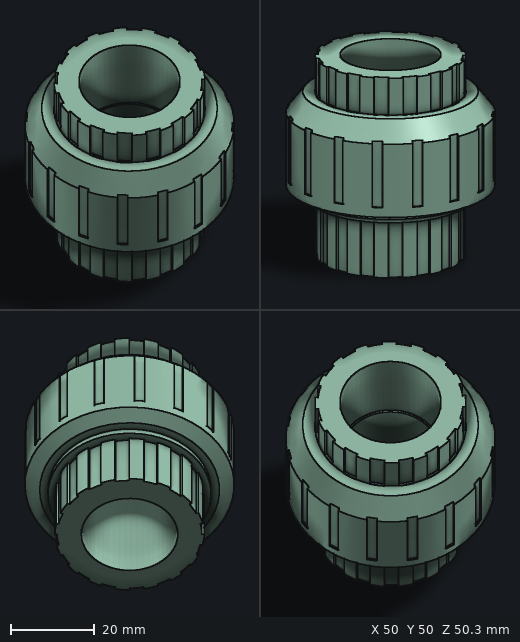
import cadquery as cq


GRIP_COUNT = 16
GRIP_PITCH = 360 / GRIP_COUNT
NECK_GRIP_WIDTH = 3.5
BAR_OVERRUN = 0.5

COLLAR_BOTTOM = 14.45
NUT_BOTTOM = 15.95
NUT_CHAMFER_TOP = 17.6
NUT_GROOVE_BOTTOM = 20.0
JOINT_HEIGHT = 30.7
LIP_BOTTOM = 36.0
NUT_GROOVE_TOP = 36.55
NUT_TOP = 41.05
TOTAL_HEIGHT = 50.3
TAIL_GROOVE_RECESS = 0.2
TAIL_GROOVE_BOTTOM = NUT_TOP - TAIL_GROOVE_RECESS

BODY_NECK_DIAMETER = 34.5
BODY_RIB_DIAMETER = 35.6
BODY_COLLAR_DIAMETER = 38.95
BODY_BORE = 23.0

TAIL_NECK_DIAMETER = 36.0
TAIL_GROOVE_FLOOR_DIAMETER = 34.6
TAIL_FLANGE_DIAMETER = 38.8
TAIL_BORE = 24.1

NUT_DIAMETER = 50.0
NUT_BOTTOM_DIAMETER = 42.9
NUT_TOP_DIAMETER = 41.9
NUT_MOUTH_DIAMETER = 36.1
NUT_GROOVE_WIDTH = 2.45
NUT_GROOVE_DEPTH = 0.45


def cylinder(diameter, bottom, top):
    """Solid cylinder on the Z axis between two heights."""
    return cq.Workplane("XY").workplane(offset=bottom).circle(diameter / 2).extrude(top - bottom)


def radial_bars(inner_radius, outer_radius, width, bottom, top):
    """Ring of separate upright bars with flat, parallel sides, the first one on the +X axis."""
    bar = (
        cq.Workplane("XY")
        .workplane(offset=bottom)
        .center((inner_radius + outer_radius) / 2, 0)
        .rect(outer_radius - inner_radius, width)
        .extrude(top - bottom)
    )
    bars = cq.Workplane("XY")
    for index in range(GRIP_COUNT):
        bars = bars.add(bar.rotate((0, 0, 0), (0, 0, 1), index * GRIP_PITCH))
    return bars.combine()


def make_socket_body():
    """Lower body: ribbed neck below a plain collar that reaches up into the nut."""
    neck = cylinder(BODY_NECK_DIAMETER, 0, COLLAR_BOTTOM)
    neck_radius = BODY_NECK_DIAMETER / 2
    rib_radius = BODY_RIB_DIAMETER / 2
    ribs = radial_bars(
        neck_radius - BAR_OVERRUN, rib_radius + BAR_OVERRUN, NECK_GRIP_WIDTH, 0, COLLAR_BOTTOM
    ).intersect(cylinder(BODY_RIB_DIAMETER, 0, COLLAR_BOTTOM))
    collar = cylinder(BODY_COLLAR_DIAMETER, COLLAR_BOTTOM, JOINT_HEIGHT)
    bore = cylinder(BODY_BORE, 0, JOINT_HEIGHT)
    return neck.union(ribs).union(collar).cut(bore)


def make_tail_piece():
    """Upper body: grooved neck above a flange that sits under the lip of the nut."""
    neck = cylinder(TAIL_NECK_DIAMETER, LIP_BOTTOM, TOTAL_HEIGHT)
    floor_radius = TAIL_GROOVE_FLOOR_DIAMETER / 2
    neck_radius = TAIL_NECK_DIAMETER / 2
    grooves = radial_bars(
        floor_radius - BAR_OVERRUN,
        neck_radius + BAR_OVERRUN,
        NECK_GRIP_WIDTH,
        TAIL_GROOVE_BOTTOM,
        TOTAL_HEIGHT,
    ).cut(cylinder(TAIL_GROOVE_FLOOR_DIAMETER, TAIL_GROOVE_BOTTOM, TOTAL_HEIGHT))
    flange = cylinder(TAIL_FLANGE_DIAMETER, JOINT_HEIGHT, LIP_BOTTOM)
    bore = cylinder(TAIL_BORE, JOINT_HEIGHT, TOTAL_HEIGHT)
    return neck.cut(grooves).union(flange).cut(bore)


def make_union_nut():
    """Ring with a chamfered foot, a conical shoulder, an inner lip and outer grip grooves."""
    profile = [
        (BODY_COLLAR_DIAMETER / 2, NUT_BOTTOM),
        (NUT_BOTTOM_DIAMETER / 2, NUT_BOTTOM),
        (NUT_DIAMETER / 2, NUT_CHAMFER_TOP),
        (NUT_DIAMETER / 2, LIP_BOTTOM),
        (NUT_TOP_DIAMETER / 2, NUT_TOP),
        (NUT_MOUTH_DIAMETER / 2, NUT_TOP),
        (NUT_MOUTH_DIAMETER / 2, LIP_BOTTOM),
        (BODY_COLLAR_DIAMETER / 2, LIP_BOTTOM),
    ]
    ring = cq.Workplane("XZ").polyline(profile).close().revolve(360, (0, 0), (0, 1))
    radius = NUT_DIAMETER / 2
    grooves = radial_bars(
        radius - NUT_GROOVE_DEPTH, radius + BAR_OVERRUN, NUT_GROOVE_WIDTH, NUT_GROOVE_BOTTOM, NUT_GROOVE_TOP
    )
    return ring.cut(grooves)


socket_body = make_socket_body()
tail_piece = make_tail_piece()
union_nut = make_union_nut()

result = cq.Compound.makeCompound([socket_body.val(), tail_piece.val(), union_nut.val()])